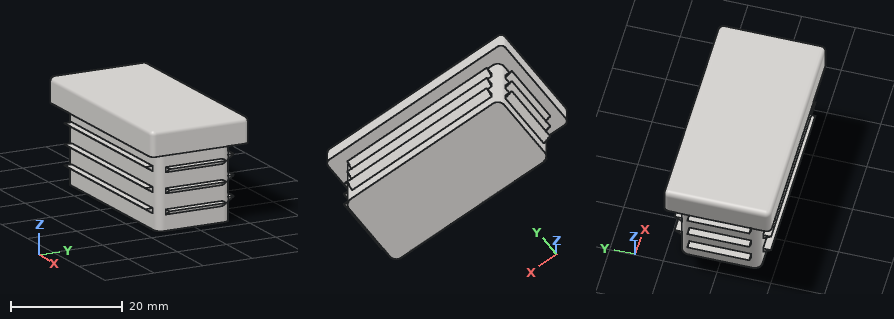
import cadquery as cq

cap_length = 40.0
cap_width = cap_length / 2
cap_height = 5.0
cap_rounding = 1.0

total_height = 20.0
plug_inset = cap_height / 2
plug_length = cap_length - 2 * plug_inset
plug_width = cap_width - 2 * plug_inset
plug_height = total_height - cap_height
plug_corner_radius = 1.5 * cap_rounding

rib_count = 3
rib_reach = 1.5 * cap_rounding
rib_height = 1.0
rib_pitch = 3.95
top_rib_drop = 3.0
rib_end_gap = 0.25
rib_root = 0.4


def make_cap():
    """Cap with rounded vertical and top edges."""
    block = cq.Workplane("XY").workplane(offset=plug_height)
    block = block.rect(cap_length, cap_width).extrude(cap_height)
    return block.edges("|Z or >Z").fillet(cap_rounding)


def make_plug():
    """Rectangular plug with rounded vertical edges."""
    block = cq.Workplane("XY").rect(plug_length, plug_width).extrude(plug_height)
    return block.edges("|Z").fillet(plug_corner_radius)


def make_rib(wall_length, wall_distance, top_z):
    """Rib on the -Y wall at the given distance from the part axis."""
    wall_y = -wall_distance
    rib_length = wall_length - 2 * (plug_corner_radius + rib_end_gap)
    profile = [
        (wall_y + rib_root, top_z),
        (wall_y - rib_reach, top_z),
        (wall_y, top_z - rib_height),
        (wall_y + rib_root, top_z - rib_height),
    ]
    return cq.Workplane("YZ").polyline(profile).close().extrude(rib_length / 2, both=True)


def turn(body, angle):
    """Rotate a body about the vertical axis."""
    return body.rotate((0, 0, 0), (0, 0, 1), angle)


result = make_plug().union(make_cap())
for index in range(rib_count):
    rib_top = plug_height - top_rib_drop - index * rib_pitch
    long_rib = make_rib(plug_length, plug_width / 2, rib_top)
    short_rib = make_rib(plug_width, plug_length / 2, rib_top)
    for half_turn in (0, 180):
        result = result.union(turn(long_rib, half_turn))
        result = result.union(turn(short_rib, half_turn + 90))